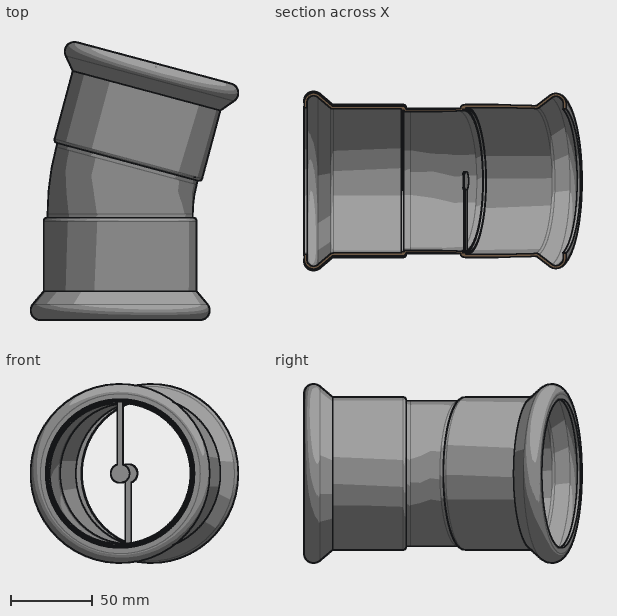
import cadquery as cq
import math

BEND_ANGLE = 15.0
MOUTH_TO_CORNER = 80.0
NECK_END = 65.0
BEND_RADIUS = (MOUTH_TO_CORNER - NECK_END) / math.tan(math.radians(BEND_ANGLE / 2))

SOCKET_OUTER_R = 93.5 / 2
SOCKET_BORE_R = 89.5 / 2
MOUTH_R = 91.0 / 2
STEP_BORE_R = 88.0 / 2
NECK_OUTER_R = 89.0 / 2
NECK_BORE_R = 85.9 / 2
WALL = SOCKET_OUTER_R - SOCKET_BORE_R

BEAD_RADIUS = 6.0
BEAD_CENTER_R = 48.8
CONE_ANGLE = math.radians(40.0)
CONE_BLEND_R = 2.5

SOCKET_END = 62.6
CORNER_R = 2.0
STEP_DEPTH = 59.4
SEAT_DEPTH = 61.0

MARKER_THICKNESS = 1.0
MARKER_DISC_R = 5.8
MARKER_ARM_WIDTH = 3.7


def bead_point(radius, angle):
    """Point (distance from axis, depth) on a circle about the bead centre."""
    return (BEAD_CENTER_R + radius * math.cos(angle), BEAD_RADIUS + radius * math.sin(angle))


def cone_depth(start, end_r):
    """Depth at which the cone leaving the start point reaches the given radius."""
    return start[1] + (start[0] - end_r) / math.tan(CONE_ANGLE)


def make_socket():
    """Socket along +Y from its mouth at Y = 0, with the straight end of the neck."""
    bead_inner_r = BEAD_RADIUS - WALL
    arc_middle = (CONE_ANGLE - math.pi / 2) / 2
    outer_cone = bead_point(BEAD_RADIUS, CONE_ANGLE)
    inner_cone = bead_point(bead_inner_r, CONE_ANGLE)
    inner_corner_y = cone_depth(inner_cone, SOCKET_BORE_R)
    blend_length = CONE_BLEND_R * math.tan(CONE_ANGLE / 2)
    blend_end_y = inner_corner_y + blend_length
    blend_center_r = SOCKET_BORE_R + CONE_BLEND_R

    def blend_point(angle):
        return (blend_center_r - CONE_BLEND_R * math.cos(angle),
                blend_end_y - CONE_BLEND_R * math.sin(angle))

    corner_mid = CORNER_R * (1 - math.sqrt(0.5))
    profile = (
        cq.Workplane("XY")
        .moveTo(MOUTH_R, 0)
        .lineTo(BEAD_CENTER_R, 0)
        .threePointArc(bead_point(BEAD_RADIUS, arc_middle), outer_cone)
        .lineTo(SOCKET_OUTER_R, cone_depth(outer_cone, SOCKET_OUTER_R))
        .lineTo(SOCKET_OUTER_R, SOCKET_END - CORNER_R)
        .threePointArc(
            (SOCKET_OUTER_R - corner_mid, SOCKET_END - corner_mid),
            (SOCKET_OUTER_R - CORNER_R, SOCKET_END),
        )
        .lineTo(NECK_OUTER_R, SOCKET_END)
        .lineTo(NECK_OUTER_R, NECK_END)
        .lineTo(NECK_BORE_R, NECK_END)
        .lineTo(NECK_BORE_R, SEAT_DEPTH)
        .lineTo(STEP_BORE_R, SEAT_DEPTH)
        .lineTo(STEP_BORE_R, STEP_DEPTH)
        .lineTo(SOCKET_BORE_R, STEP_DEPTH)
        .lineTo(SOCKET_BORE_R, blend_end_y)
        .threePointArc(blend_point(CONE_ANGLE / 2), blend_point(CONE_ANGLE))
        .lineTo(*inner_cone)
        .threePointArc(bead_point(bead_inner_r, arc_middle), (BEAD_CENTER_R, WALL))
        .lineTo(MOUTH_R, WALL)
        .close()
    )
    return profile.revolve(360, (0, 0, 0), (0, 1, 0))


def make_bend():
    """Curved neck between the two sockets, turning from +Y toward +X."""
    return (
        cq.Workplane("XZ", origin=(0, NECK_END, 0))
        .circle(NECK_OUTER_R)
        .circle(NECK_BORE_R)
        .revolve(BEND_ANGLE, (BEND_RADIUS, 0, 0), (BEND_RADIUS, -1, 0))
    )


def to_far_end(body):
    """Carry a body from the near socket to the same place in the far socket."""
    corner = (0, MOUTH_TO_CORNER, 0)
    mirrored = body.mirror("XZ", corner)
    return mirrored.rotate(corner, (0, MOUTH_TO_CORNER, 1), -BEND_ANGLE)


def make_elbow():
    socket = make_socket()
    return socket.union(make_bend()).union(to_far_end(socket))


def make_marker(arm_side):
    """Stop marker in the near socket; its arm points to +Z (1) or -Z (-1)."""
    plane = cq.Workplane("XZ", origin=(0, SEAT_DEPTH, 0))
    disc = plane.circle(MARKER_DISC_R).extrude(MARKER_THICKNESS)
    arm = (
        plane.center(0, arm_side * STEP_BORE_R / 2)
        .rect(MARKER_ARM_WIDTH, STEP_BORE_R)
        .extrude(MARKER_THICKNESS)
    )
    seat = plane.circle(STEP_BORE_R).extrude(MARKER_THICKNESS)
    return disc.union(arm).intersect(seat)


elbow = make_elbow()
markers = [make_marker(1), to_far_end(make_marker(-1))]

result = cq.Compound.makeCompound([elbow.val(), *[marker.val() for marker in markers]])